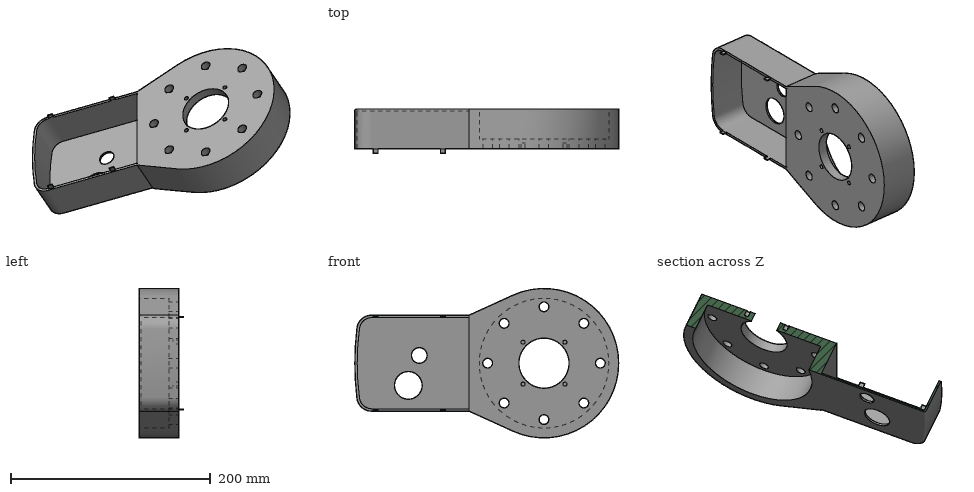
import math

import cadquery as cq

body_depth = 40.0
wall = 2.5

head_radius = 75.0
head_plate = 10.0
cavity_radius = 65.0
center_bore_diameter = 50.0
bolt_circle_radius = 56.5
bolt_hole_diameter = 9.5
bolt_count = 8
pin_hole_offset = 21.0
pin_hole_diameter = 4.0
pin_hole_depth = 6.0

arm_half_height = 48.25
arm_root_x = -75.0
arm_end_x = -189.75
end_bow = 4.0
corner_radius = 15.0
back_edge_radius = 2.0
floor_thickness = 2.0

floor_holes = [(-125.0, 7.75, 15.5), (-136.0, -22.25, 27.5)]

tab_centers_x = [-168.75, -101.25]
tab_length = 5.0
tab_thickness = 1.0
tab_height = 4.5


def front_plane(depth):
    """Sketch plane at Y = depth with local axes X and Z; a negative extrusion goes toward +Y."""
    return cq.Workplane("XZ", origin=(0, depth, 0))


def arm_block(inset, start, end):
    """Arm shape with a bowed, rounded end, shrunk by inset, between two Y positions."""
    half_height = arm_half_height - inset
    tip_x = arm_end_x + inset
    shoulder_x = tip_x + end_bow
    return (
        front_plane(start)
        .moveTo(arm_root_x, half_height)
        .lineTo(shoulder_x, half_height)
        .threePointArc((tip_x, 0), (shoulder_x, -half_height))
        .lineTo(arm_root_x, -half_height)
        .close()
        .extrude(start - end)
        .edges("|Y")
        .edges("<X")
        .fillet(corner_radius - inset)
    )


def make_arm():
    """Solid arm with its back outer edge rounded."""
    block = arm_block(0, 0, body_depth)
    back_rim = block.faces(">Y").edges("not(>X)")
    return back_rim.fillet(back_edge_radius)


def make_head():
    """Disc with straight flanks running tangentially to the corners of the arm."""
    corner_distance = math.hypot(arm_root_x, arm_half_height)
    corner_angle = math.atan2(arm_half_height, arm_root_x)
    tangent_angle = corner_angle - math.acos(head_radius / corner_distance)
    tangent_x = head_radius * math.cos(tangent_angle)
    tangent_z = head_radius * math.sin(tangent_angle)
    return (
        front_plane(0)
        .moveTo(arm_root_x, arm_half_height)
        .lineTo(tangent_x, tangent_z)
        .threePointArc((head_radius, 0), (tangent_x, -tangent_z))
        .lineTo(arm_root_x, -arm_half_height)
        .close()
        .extrude(-body_depth)
    )


def cut_head(body):
    """Rear recess, central bore, bolt circle and blind pin holes of the head."""
    recess = front_plane(head_plate).circle(cavity_radius).extrude(head_plate - body_depth)
    bore = front_plane(0).circle(center_bore_diameter / 2).extrude(-body_depth)
    bolts = (
        front_plane(0)
        .polarArray(bolt_circle_radius, 0, 360, bolt_count)
        .circle(bolt_hole_diameter / 2)
        .extrude(-body_depth)
    )
    pins = (
        front_plane(0)
        .rect(2 * pin_hole_offset, 2 * pin_hole_offset, forConstruction=True)
        .vertices()
        .circle(pin_hole_diameter / 2)
        .extrude(-pin_hole_depth)
    )
    return body.cut(recess).cut(bore).cut(bolts).cut(pins)


def cut_arm(body):
    """Front-facing pocket of the arm and the round holes through its floor."""
    body = body.cut(arm_block(wall, 0, body_depth - floor_thickness))
    for x, z, diameter in floor_holes:
        hole = front_plane(0).center(x, z).circle(diameter / 2).extrude(-body_depth)
        body = body.cut(hole)
    return body


def add_tabs(body):
    """Thin tabs standing on the front rim, flush with the inner face of each long wall."""
    tab_z = arm_half_height - wall + tab_thickness / 2
    for x in tab_centers_x:
        for z in (tab_z, -tab_z):
            tab = front_plane(0).center(x, z).rect(tab_length, tab_thickness).extrude(tab_height)
            body = body.union(tab)
    return body


body = make_head().union(make_arm())
body = cut_head(body)
body = cut_arm(body)
result = add_tabs(body)